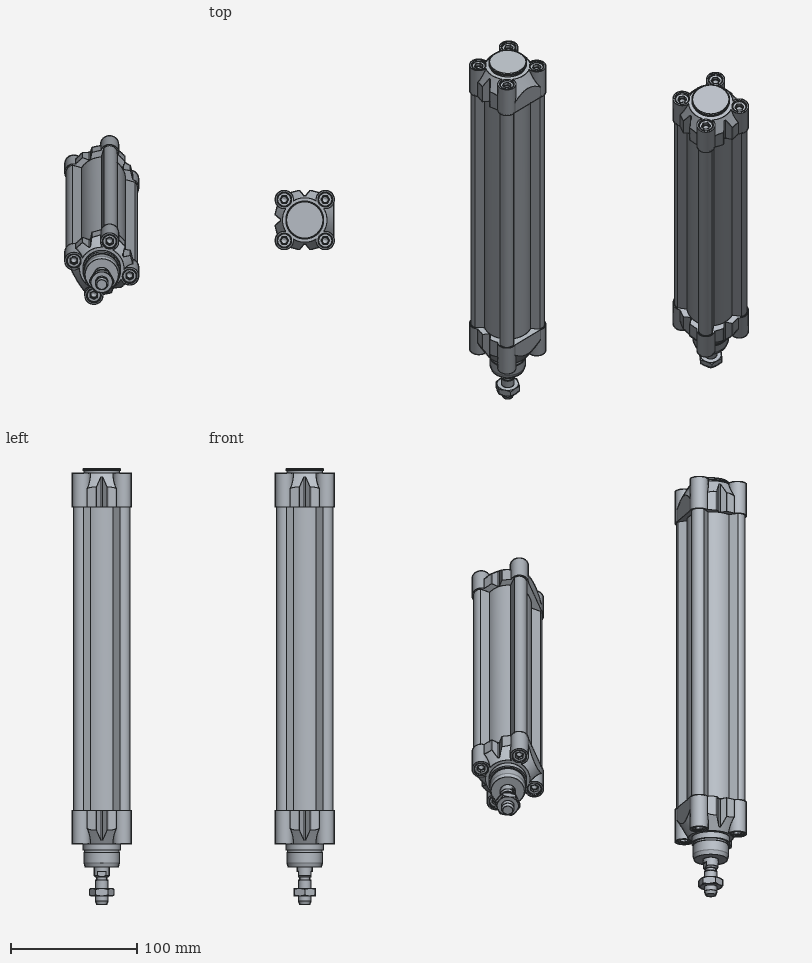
import cadquery as cq
import math

TOTAL_LENGTH = 346.0
RIM_HEIGHT = 3.8
CAP_HEIGHT = 26.5
FRONT_CAP_BOTTOM = 48.0
REAR_CAP_TOP = TOTAL_LENGTH - RIM_HEIGHT
TUBE_BOTTOM = FRONT_CAP_BOTTOM + CAP_HEIGHT
TUBE_TOP = REAR_CAP_TOP - CAP_HEIGHT

COLUMN_OFFSET = 16.3
COLUMN_SIGNS = [(-1, -1), (-1, 1), (1, -1), (1, 1)]
COLUMN_AXIS_DISTANCE = math.hypot(COLUMN_OFFSET, COLUMN_OFFSET)
COLUMN_POINTS = [(sx * COLUMN_OFFSET, sy * COLUMN_OFFSET) for sx, sy in COLUMN_SIGNS]

TUBE_RADIUS = 19.0
TUBE_COLUMN_RADIUS = 6.2
TUBE_WEB_WIDTH = 11.0

CAP_HALF_WIDTH = 23.5
CAP_COLUMN_RADIUS = CAP_HALF_WIDTH - COLUMN_OFFSET
PLAIN_SIDE = 23.2
RIDGE_INNER = 4.0
RIDGE_OUTER = 5.0
RIDGE_FOOT = (11.5, 21.8)
GROOVE_FLOOR = 19.5
GROOVE_FLOOR_WIDTH = 1.5
CONE_TOP_RADIUS = 17.5
CONE_BASE_RADIUS = 24.2
CONE_HEIGHT = 11.5

SCREW_BORE_DIAMETER = 10.5
SCREW_BORE_CHAMFER = 0.7
SCREW_BORE_DEPTH = 1.0
SOCKET_ACROSS_CORNERS = 7.0
SOCKET_DEPTH = 2.8
TIP_DIAMETER = 5.0
TIP_ANGLE = 118.0

RIM_DIAMETER = 30.0
RIM_NECK_DIAMETER = 28.5
RIM_PLATE = 1.7
RIM_CHAMFER = 0.7

COLLAR_BOTTOM = 29.8
COLLAR_STEP = 43.2
SHOULDER_DIAMETER = 30.0
COLLAR_DIAMETER = 28.5
COLLAR_CHAMFER_WIDTH = 1.0
COLLAR_CHAMFER_HEIGHT = 3.5
UNDERCUT_DIAMETER = 27.7
UNDERCUT_BOTTOM = 41.5

ROD_DIAMETER = 12.0
ROD_BOTTOM = 21.8
ROD_CHAMFER = 1.5
FLAT_TOP = 26.3
FLAT_WIDTH = 10.0
NECK_DIAMETER = 8.0
NECK_BOTTOM = 19.5
THREAD_DIAMETER = 10.0
THREAD_CHAMFER = 2.8

NUT_BOTTOM = 7.0
NUT_HEIGHT = 6.0
NUT_ACROSS_FLATS = 17.0
NUT_CHAMFER_ANGLE = 30.0


def cylinder(diameter, bottom, top):
    return cq.Workplane("XY").workplane(offset=bottom).circle(diameter / 2).extrude(top - bottom)


def revolve_profile(points):
    """Revolve a closed (radius, z) outline about the Z axis."""
    return cq.Workplane("XZ").polyline(points).close().revolve(360, (0, 0), (0, 1))


def make_tube():
    """Barrel with four diagonal webs, each ending in a rounded column."""
    length = TUBE_TOP - TUBE_BOTTOM
    base = cq.Workplane("XY").workplane(offset=TUBE_BOTTOM)
    tube = base.circle(TUBE_RADIUS).extrude(length)
    full_reach = COLUMN_AXIS_DISTANCE + TUBE_COLUMN_RADIUS
    column = base.center(COLUMN_AXIS_DISTANCE, 0).circle(TUBE_COLUMN_RADIUS).extrude(length)
    strip = base.center(full_reach / 2, 0).rect(full_reach, TUBE_WEB_WIDTH).extrude(length)
    web = base.center(COLUMN_AXIS_DISTANCE / 2, 0).rect(COLUMN_AXIS_DISTANCE, TUBE_WEB_WIDTH).extrude(length)
    arm = column.intersect(strip).union(web)
    for angle in (45, 135, 225, 315):
        tube = tube.union(arm.rotate((0, 0, 0), (0, 0, 1), angle))
    return tube


def cap_core():
    """Core with ridged sides on -X, -Y and +Y and a plain +X side, bevelled by a cone at the top."""
    half_floor = GROOVE_FLOOR_WIDTH / 2
    side = [
        (-COLUMN_OFFSET, RIDGE_FOOT[1]),
        (-RIDGE_FOOT[0], RIDGE_FOOT[1]),
        (-RIDGE_OUTER, CAP_HALF_WIDTH),
        (-RIDGE_INNER, CAP_HALF_WIDTH),
        (-half_floor, GROOVE_FLOOR),
        (half_floor, GROOVE_FLOOR),
        (RIDGE_INNER, CAP_HALF_WIDTH),
        (RIDGE_OUTER, CAP_HALF_WIDTH),
        RIDGE_FOOT,
        (COLUMN_OFFSET, RIDGE_FOOT[1]),
    ]
    plus_y = side
    minus_y = [(-x, -y) for x, y in side]
    minus_x = [(-y, x) for x, y in side]
    plus_x = [(PLAIN_SIDE, COLUMN_OFFSET), (PLAIN_SIDE, -COLUMN_OFFSET)]
    outline = plus_y + plus_x + minus_y + minus_x
    core = cq.Workplane("XY").polyline(outline).close().extrude(CAP_HEIGHT)

    slope = (CONE_BASE_RADIUS - CONE_TOP_RADIUS) / CONE_HEIGHT
    bevel = revolve_profile([
        (0, 0),
        (CONE_TOP_RADIUS + slope * CAP_HEIGHT, 0),
        (CONE_TOP_RADIUS, CAP_HEIGHT),
        (0, CAP_HEIGHT),
    ])
    return core.intersect(bevel)


def screw_recess():
    """Chamfered bore, hexagon socket and conical tip, with the mouth on the cap's outer face."""
    bore = SCREW_BORE_DIAMETER / 2
    tip_radius = TIP_DIAMETER / 2
    bore_z = CAP_HEIGHT - SCREW_BORE_DEPTH
    socket_z = bore_z - SOCKET_DEPTH
    tip_z = socket_z - tip_radius / math.tan(math.radians(TIP_ANGLE / 2))
    round_part = revolve_profile([
        (0, tip_z),
        (tip_radius, socket_z),
        (tip_radius, bore_z),
        (bore, bore_z),
        (bore, CAP_HEIGHT - SCREW_BORE_CHAMFER),
        (bore + SCREW_BORE_CHAMFER, CAP_HEIGHT),
        (0, CAP_HEIGHT),
    ])
    socket = (
        cq.Workplane("XY").workplane(offset=socket_z)
        .polygon(6, SOCKET_ACROSS_CORNERS).extrude(SOCKET_DEPTH)
    )
    return round_part.union(socket)


def make_cap_block():
    """End cap with its inner face at Z = 0 and its outer face at Z = CAP_HEIGHT."""
    columns = cq.Workplane("XY").pushPoints(COLUMN_POINTS).circle(CAP_COLUMN_RADIUS).extrude(CAP_HEIGHT)
    block = cap_core().union(columns)
    recess = screw_recess()
    for x, y in COLUMN_POINTS:
        block = block.cut(recess.translate((x, y, 0)))
    return block


def make_rear_cap():
    block = make_cap_block().translate((0, 0, TUBE_TOP))
    neck = cylinder(RIM_NECK_DIAMETER, REAR_CAP_TOP, TOTAL_LENGTH - RIM_PLATE)
    plate = cylinder(RIM_DIAMETER, TOTAL_LENGTH - RIM_PLATE, TOTAL_LENGTH).faces(">Z").chamfer(RIM_CHAMFER)
    return block.union(neck).union(plate)


def make_front_cap():
    block = make_cap_block().mirror("XY").translate((0, 0, TUBE_BOTTOM))
    shoulder = cylinder(SHOULDER_DIAMETER, COLLAR_STEP, FRONT_CAP_BOTTOM)
    undercut = cylinder(UNDERCUT_DIAMETER, UNDERCUT_BOTTOM, COLLAR_STEP)
    collar = (
        cylinder(COLLAR_DIAMETER, COLLAR_BOTTOM, UNDERCUT_BOTTOM)
        .faces("<Z").chamfer(COLLAR_CHAMFER_HEIGHT, COLLAR_CHAMFER_WIDTH)
    )
    rod_bore = cylinder(ROD_DIAMETER, COLLAR_BOTTOM, TUBE_BOTTOM)
    return block.union(shoulder).union(undercut).union(collar).cut(rod_bore)


def make_rod():
    rod = cylinder(ROD_DIAMETER, ROD_BOTTOM, TUBE_BOTTOM).faces("<Z").chamfer(ROD_CHAMFER)
    flatted_height = FLAT_TOP - ROD_BOTTOM
    between_flats = (
        cq.Workplane("XY").workplane(offset=ROD_BOTTOM)
        .rect(FLAT_WIDTH, ROD_DIAMETER).extrude(flatted_height)
    )
    waste = cylinder(ROD_DIAMETER, ROD_BOTTOM, FLAT_TOP).cut(between_flats)
    neck = cylinder(NECK_DIAMETER, NECK_BOTTOM, ROD_BOTTOM)
    chamfer_width = (THREAD_DIAMETER - NECK_DIAMETER) / 2
    thread = cylinder(THREAD_DIAMETER, 0, NECK_BOTTOM).faces("<Z").chamfer(THREAD_CHAMFER, chamfer_width)
    return rod.cut(waste).union(neck).union(thread)


def make_nut():
    """Hexagon nut with two corners on the Y axis and both rims chamfered."""
    across_corners = NUT_ACROSS_FLATS / math.cos(math.radians(30))
    hexagon = (
        cq.Workplane("XY").transformed(rotate=(0, 0, 90))
        .polygon(6, across_corners).extrude(NUT_HEIGHT)
    )
    rim_radius = NUT_ACROSS_FLATS / 2
    corner_radius = across_corners / 2
    drop = (corner_radius - rim_radius) * math.tan(math.radians(NUT_CHAMFER_ANGLE))
    envelope = revolve_profile([
        (0, 0),
        (rim_radius, 0),
        (corner_radius, drop),
        (corner_radius, NUT_HEIGHT - drop),
        (rim_radius, NUT_HEIGHT),
        (0, NUT_HEIGHT),
    ])
    bore = cylinder(THREAD_DIAMETER, 0, NUT_HEIGHT)
    return hexagon.intersect(envelope).cut(bore).translate((0, 0, NUT_BOTTOM))


tube = make_tube()
rear_cap = make_rear_cap()
front_cap = make_front_cap()
rod = make_rod()
nut = make_nut()

result = cq.Compound.makeCompound([
    tube.val(),
    rear_cap.val(),
    front_cap.val(),
    rod.val(),
    nut.val(),
])